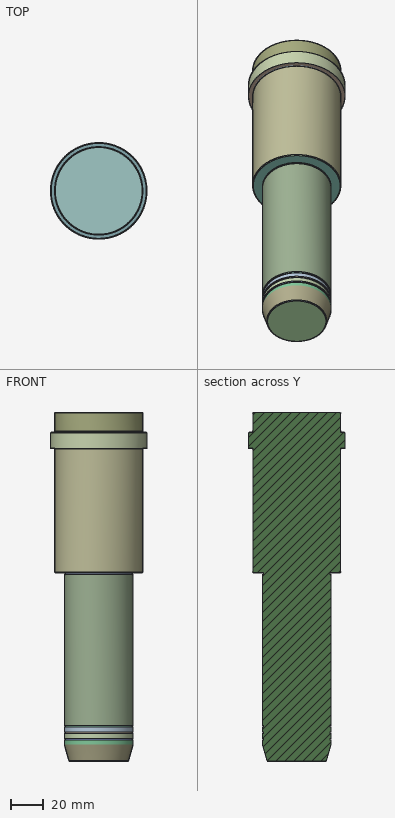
import cadquery as cq

total_height = 213.0
head_height = 12.0
collar_height = 10.0
sleeve_bottom = 115.0
tip_height = 10.0

sleeve_diameter = 54.0
collar_diameter = 59.0
pin_diameter = 42.0
tip_diameter = 36.6

sleeve_chamfer = 0.5
collar_chamfer = 0.5
tip_chamfer = 0.5

neck_depth = 0.5
neck_height = 1.0

relief_width = 0.5
groove_width = 1.0
groove_pitch = 4.0
groove_count = 3
first_groove_bottom = 13.0

collar_top = total_height - head_height
collar_bottom = collar_top - collar_height


def cylinder(diameter, bottom, top):
    """Solid cylinder on the Z axis between two heights."""
    return cq.Workplane("XY").workplane(offset=bottom).circle(diameter / 2).extrude(top - bottom)


def groove_cutter(diameter, bottom, width):
    """Ring of circular section, centred on a cylinder's surface, that cuts a half-round groove."""
    section_radius = width / 2
    return (
        cq.Workplane("XZ")
        .moveTo(diameter / 2, bottom + section_radius)
        .circle(section_radius)
        .revolve(360, (0, 0), (0, 1))
    )


def make_sleeve():
    """Thick upper body, chamfered at both ends, with a relief groove above and below the collar."""
    sleeve = cylinder(sleeve_diameter, sleeve_bottom, total_height)
    sleeve = sleeve.faces("<Z or >Z").chamfer(sleeve_chamfer)
    for bottom in (collar_top, collar_bottom - relief_width):
        sleeve = sleeve.cut(groove_cutter(sleeve_diameter, bottom, relief_width))
    return sleeve


def make_collar():
    """Collar around the sleeve with a chamfered upper edge."""
    collar = cylinder(collar_diameter, collar_bottom, collar_top)
    return collar.faces(">Z").chamfer(collar_chamfer)


def make_pin():
    """Lower pin with a tapered tip, half-round grooves near the tip and a neck under the sleeve."""
    pin_radius = pin_diameter / 2
    tip_radius = tip_diameter / 2
    neck_radius = pin_radius - neck_depth
    neck_bottom = sleeve_bottom - neck_height
    pin = (
        cq.Workplane("XZ")
        .lineTo(tip_radius - tip_chamfer, 0)
        .lineTo(tip_radius, tip_chamfer)
        .lineTo(pin_radius, tip_height)
        .lineTo(pin_radius, neck_bottom)
        .lineTo(neck_radius, neck_bottom)
        .lineTo(neck_radius, sleeve_bottom)
        .lineTo(0, sleeve_bottom)
        .close()
        .revolve(360, (0, 0), (0, 1))
    )
    for index in range(groove_count):
        bottom = first_groove_bottom + index * groove_pitch
        pin = pin.cut(groove_cutter(pin_diameter, bottom, groove_width))
    return pin


result = make_sleeve().union(make_collar()).union(make_pin())